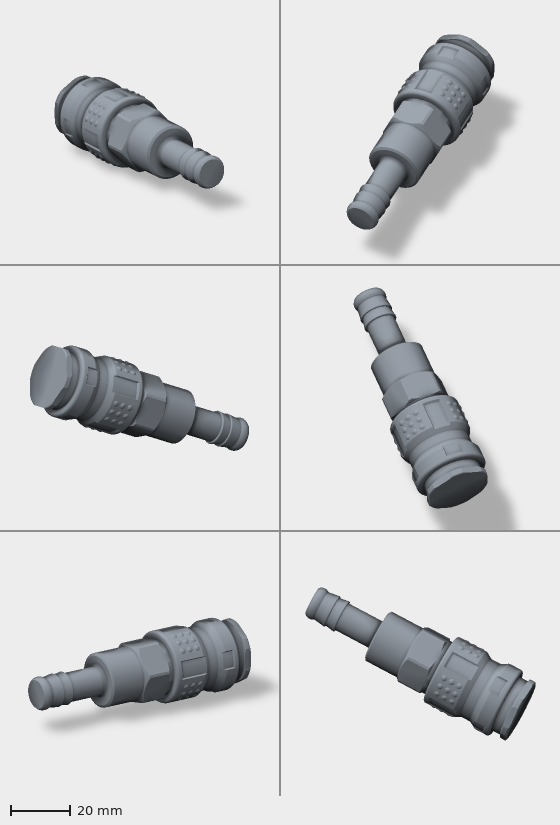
import cadquery as cq
import math

total_length = 80.0

cap_length = 2.3
cap_flats = 21.1
cap_diameter = 22.6
cap_fillet = 0.6
cap_turn_angle = 30.0
neck_diameter = 20.3
neck_fillet = 0.4

sleeve_start = 5.6
sleeve_end = 30.9
sleeve_diameter = 25.0
sleeve_rim_fillet = 1.0
groove_diameter = 22.0
groove_floor_start = 13.6
groove_floor_end = 17.1
groove_start = 11.0
groove_end = 19.6
groove_edge_fillet = 0.8
edge_margin = 0.1

turn_angle = 9.5

group_count = 4
recess_floor_radius = 11.9
recess_floor_width = 5.6
recess_side_taper = 40.0
recess_cut_margin = 0.8
small_recess_start = 8.0
small_recess_wall = 0.5
large_recess_end = 28.3
large_recess_wall = 0.7
bump_sphere_radius = 1.4
bump_height = 0.4
bump_start = 21.3
bump_pitch = 2.9
bump_pitch_angle = 15.0
bumps_per_side = 3

collar_diameter = 19.8
nut_flats = 19.5
nut_diameter = 22.0
nut_start = 32.6
nut_start_cone = 0.6
nut_end_cone = 1.4
nut_end = 42.5

shank_diameter = 18.8
shank_end = 55.0
shank_chamfer_length = 0.6
shank_end_diameter = 17.2
tail_diameter = 10.1
tail_fillet = 1.0
barb_starts = [68.6, 72.2]
barb_diameter = 11.5
barb_fillet = 0.4
barb_root_diameter = 10.4
bulb_start = 76.6
bulb_peak = 78.2
tail_end_diameter = 9.9

cap_radius = cap_diameter / 2
neck_radius = neck_diameter / 2
sleeve_radius = sleeve_diameter / 2
groove_radius = groove_diameter / 2
collar_radius = collar_diameter / 2
nut_radius = nut_diameter / 2
shank_radius = shank_diameter / 2
tail_radius = tail_diameter / 2
barb_radius = barb_diameter / 2
barb_root_radius = barb_root_diameter / 2
diagonal = math.sqrt(0.5)


def revolve_about_x(profile):
    """Close an (x, radius) profile that starts and ends on the X axis, and turn it round."""
    return profile.close().revolve(360, (0, 0, 0), (1, 0, 0))


def cylinder(start, end, radius):
    return cq.Workplane("YZ").workplane(offset=start).circle(radius).extrude(end - start)


def hex_prism(start, end, flats, angle):
    """Hexagonal prism along X, with one corner turned by the angle from +Y towards +Z."""
    corner_diameter = flats / math.cos(math.pi / 6)
    prism = cq.Workplane("YZ").workplane(offset=start).polygon(6, corner_diameter).extrude(end - start)
    return prism.rotate((0, 0, 0), (1, 0, 0), angle)


def make_cap():
    """Hexagonal cap with its corners turned off, and the round neck behind it."""
    blank = cylinder(0, cap_length, cap_radius).edges().fillet(cap_fillet)
    cap = blank.intersect(hex_prism(0, cap_length, cap_flats, cap_turn_angle))
    fillet_start_radius = neck_radius + neck_fillet
    fillet_end = cap_length + neck_fillet
    fillet_middle = (fillet_end - neck_fillet * diagonal, fillet_start_radius - neck_fillet * diagonal)
    neck = revolve_about_x(
        cq.Workplane("XY")
        .moveTo(cap_length, 0)
        .lineTo(cap_length, fillet_start_radius)
        .threePointArc(fillet_middle, (fillet_end, neck_radius))
        .lineTo(sleeve_end, neck_radius)
        .lineTo(sleeve_end, 0)
    )
    return cap.union(neck)


def make_nut():
    """Nut and the collar in front of it; the hexagon flats run through both."""
    blank = revolve_about_x(
        cq.Workplane("XY")
        .moveTo(sleeve_end, 0)
        .lineTo(sleeve_end, collar_radius)
        .lineTo(nut_start, collar_radius)
        .lineTo(nut_start + nut_start_cone, nut_radius)
        .lineTo(nut_end - nut_end_cone, nut_radius)
        .lineTo(nut_end, shank_radius)
        .lineTo(nut_end, 0)
    )
    return blank.intersect(hex_prism(sleeve_end, nut_end, nut_flats, turn_angle))


def make_tail():
    """Round shank and barbed hose tail."""
    fillet_start = (shank_end, tail_radius + tail_fillet)
    fillet_drop = tail_fillet * (1 - diagonal)
    fillet_middle = (shank_end + fillet_drop, tail_radius + fillet_drop)
    profile = (
        cq.Workplane("XY")
        .moveTo(nut_end, 0)
        .lineTo(nut_end, shank_radius)
        .lineTo(shank_end - shank_chamfer_length, shank_radius)
        .lineTo(shank_end, shank_end_diameter / 2)
        .lineTo(*fillet_start)
        .threePointArc(fillet_middle, (shank_end + tail_fillet, tail_radius))
        .lineTo(barb_starts[0], tail_radius)
    )
    round_drop = barb_fillet * (1 - diagonal)
    for start, end in zip(barb_starts, barb_starts[1:] + [bulb_start]):
        profile = (
            profile.lineTo(start, barb_radius - barb_fillet)
            .threePointArc((start + round_drop, barb_radius - round_drop), (start + barb_fillet, barb_radius))
            .lineTo(end, barb_root_radius)
        )
    profile = profile.threePointArc((bulb_peak, barb_radius), (total_length, tail_end_diameter / 2))
    return revolve_about_x(profile.lineTo(total_length, 0))


def make_connector():
    """Inner body from the cap to the hose tail, in one piece."""
    return make_cap().union(make_nut()).union(make_tail())


def make_recess(wall_foot, wall_length, floor_end, angle):
    """Cutter with a cylindrical floor, a conical wall at one end and sides that lean outwards.

    The wall rises from its foot, away from the floor, to the sleeve surface.
    """
    outer_radius = sleeve_radius + recess_cut_margin
    slope = wall_length / (sleeve_radius - recess_floor_radius)
    wall_top = wall_foot + math.copysign(slope, wall_foot - floor_end) * (outer_radius - recess_floor_radius)
    ring = (
        cq.Workplane("XY")
        .moveTo(wall_foot, recess_floor_radius)
        .lineTo(wall_top, outer_radius)
        .lineTo(floor_end, outer_radius)
        .lineTo(floor_end, recess_floor_radius)
        .close()
        .revolve(360, (0, 0, 0), (1, 0, 0))
    )
    half_width = recess_floor_width / 2
    floor_edge = math.sqrt(recess_floor_radius**2 - half_width**2)
    top_half_width = half_width + (outer_radius - floor_edge) * math.tan(math.radians(recess_side_taper))
    sides = (
        cq.Workplane("YZ")
        .workplane(offset=sleeve_start)
        .moveTo(-half_width, floor_edge)
        .lineTo(half_width, floor_edge)
        .lineTo(top_half_width, outer_radius)
        .lineTo(-top_half_width, outer_radius)
        .close()
        .extrude(sleeve_end - sleeve_start)
    )
    return ring.intersect(sides).rotate((0, 0, 0), (1, 0, 0), angle)


def add_bumps(sleeve, group_angle):
    """Three by three round bumps, centred on the group angle."""
    centre_radius = sleeve_radius + bump_height - bump_sphere_radius
    for column in range(bumps_per_side):
        for row in range(bumps_per_side):
            angle = group_angle + (row - (bumps_per_side - 1) / 2) * bump_pitch_angle
            bump = (
                cq.Workplane("XY")
                .sphere(bump_sphere_radius, direct=(0, 1, 0))
                .translate((bump_start + column * bump_pitch, 0, centre_radius))
                .rotate((0, 0, 0), (1, 0, 0), angle)
            )
            sleeve = sleeve.union(bump)
    return sleeve


def make_sleeve_blank():
    """Solid sleeve with the wide groove round its middle and rounded edges."""
    blank = revolve_about_x(
        cq.Workplane("XY")
        .moveTo(sleeve_start, 0)
        .lineTo(sleeve_start, sleeve_radius)
        .lineTo(groove_start, sleeve_radius)
        .lineTo(groove_floor_start, groove_radius)
        .lineTo(groove_floor_end, groove_radius)
        .lineTo(groove_end, sleeve_radius)
        .lineTo(sleeve_end, sleeve_radius)
        .lineTo(sleeve_end, 0)
    )
    groove_edges = cq.selectors.BoxSelector(
        (groove_start - edge_margin, -sleeve_radius, -sleeve_radius),
        (groove_floor_start - edge_margin, sleeve_radius, sleeve_radius),
    ) + cq.selectors.BoxSelector(
        (groove_floor_end + edge_margin, -sleeve_radius, -sleeve_radius),
        (groove_end + edge_margin, sleeve_radius, sleeve_radius),
    )
    blank = blank.faces("<X or >X").edges().fillet(sleeve_rim_fillet)
    return blank.edges(groove_edges).fillet(groove_edge_fillet)


def make_sleeve():
    """Grip sleeve, bored through to fit round the neck."""
    sleeve = make_sleeve_blank()
    groove_middle = (groove_floor_start + groove_floor_end) / 2
    group_pitch = 360 / group_count
    for group in range(group_count):
        angle = turn_angle + group * group_pitch
        sleeve = sleeve.cut(make_recess(small_recess_start, small_recess_wall, groove_middle, angle))
        sleeve = sleeve.cut(make_recess(large_recess_end, large_recess_wall, groove_middle, angle))
        sleeve = add_bumps(sleeve, angle + group_pitch / 2)
    return sleeve.cut(cylinder(sleeve_start, sleeve_end, neck_radius))


connector = make_connector()
sleeve = make_sleeve()
result = cq.Compound.makeCompound([connector.solids().val(), sleeve.solids().val()])